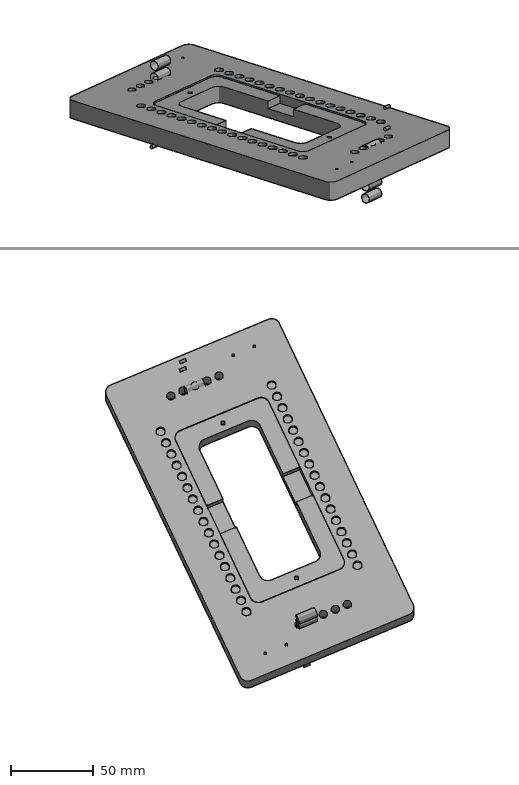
import cadquery as cq

plate_length = 210.0
plate_width = 115.0
plate_thickness = 12.0
plate_corner_radius = 5.0

recess_length = 121.8
recess_width = 62.0
recess_depth = 1.0
recess_corner_radius = 5.0
recess_floor = plate_thickness - recess_depth
window_length = 100.0
window_width = 40.0
window_corner_radius = 5.5

notch_length = 20.0
notch_floor = plate_thickness / 2
notch_depth = recess_floor - notch_floor

row_hole_count = 17
row_hole_diameter = 5.5
row_hole_depth = 2.0
row_length = 128.0
row_middle_x = 1.0
row_offset = 37.0
hole_pitch = row_length / (row_hole_count - 1)

large_bore = 5.0
large_thread = 6.0
column_hole_count = 5
column_x = 83.5
left_column_middle = -5.0
right_column_middle = 5.9

small_bore = 1.6
small_thread = 2.0
small_depth = 4.0
small_x = 92.5
small_spacing = 14.0
threads_height = 77.0
small_outer_y = (threads_height - small_thread) / 2
small_inner_y = small_outer_y - small_spacing

recess_bore = 2.5
recess_thread = 3.0
recess_hole_depth = 6.0
recess_hole_x = 55.0


def rounded_block(length, width, bottom, top, corner_radius):
    block = cq.Workplane("XY").workplane(offset=bottom).rect(length, width).extrude(top - bottom)
    return block.edges("|Z").fillet(corner_radius)


def upright_cylinders(points, diameter, top, depth):
    base = cq.Workplane("XY").workplane(offset=top - depth)
    return base.pushPoints(points).circle(diameter / 2).extrude(depth)


def thread_surfaces(points, diameter, top, depth):
    """Open thread surfaces of upright holes, laid over a quarter turn about the X axis."""
    cylinders = upright_cylinders(points, diameter, top, depth)
    return cylinders.rotate((0, 0, 0), (1, 0, 0), -90).faces("%CYLINDER").vals()


def pitch_offsets(count):
    """Distances of evenly pitched holes from the middle of their line."""
    return [(i - (count - 1) / 2) * hole_pitch for i in range(count)]


def hole_column(x, middle_y):
    return [(x, middle_y + offset) for offset in pitch_offsets(column_hole_count)]


row_points = [
    (row_middle_x + offset, side * row_offset)
    for side in (-1, 1)
    for offset in pitch_offsets(row_hole_count)
]
left_column = hole_column(-column_x, left_column_middle)
right_column = hole_column(column_x, right_column_middle)
large_points = left_column + right_column
small_points = [
    (-side * small_x, side * y)
    for side in (-1, 1)
    for y in (small_inner_y, small_outer_y)
]
recess_points = [(-recess_hole_x, 0), (recess_hole_x, 0)]

threaded_sets = [
    (large_points, large_thread, large_bore, plate_thickness, plate_thickness),
    (small_points, small_thread, small_bore, plate_thickness, small_depth),
    (recess_points, recess_thread, recess_bore, recess_floor, recess_hole_depth),
]

plate = rounded_block(plate_length, plate_width, 0, plate_thickness, plate_corner_radius)
plate = plate.cut(
    rounded_block(recess_length, recess_width, recess_floor, plate_thickness, recess_corner_radius)
)
plate = plate.cut(rounded_block(window_length, window_width, 0, plate_thickness, window_corner_radius))
notch = cq.Workplane("XY").workplane(offset=notch_floor)
plate = plate.cut(notch.rect(notch_length, recess_width).extrude(notch_depth))

plate = plate.cut(upright_cylinders(row_points, row_hole_diameter, plate_thickness, row_hole_depth))
for points, thread, bore, top, depth in threaded_sets:
    plate = plate.cut(upright_cylinders(points, bore, top, depth))

surfaces = []
for points, thread, bore, top, depth in threaded_sets:
    surfaces += thread_surfaces(points, thread, top, depth)
part = cq.Compound.makeCompound([plate.solids().val()] + surfaces)
result = cq.Workplane("XY").newObject([part])